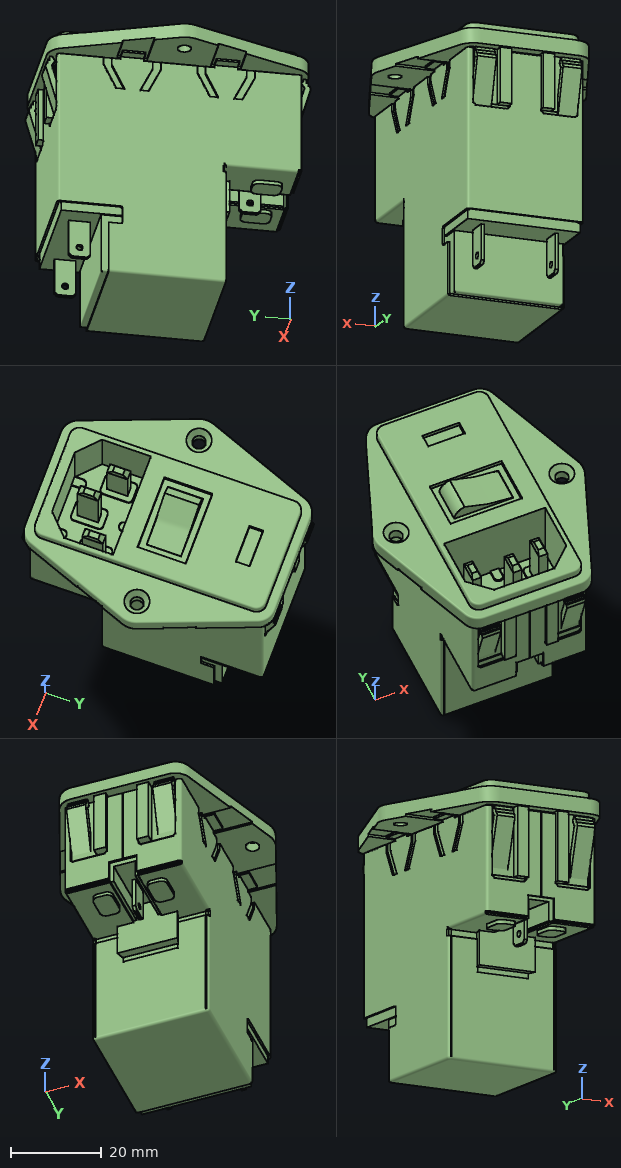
import cadquery as cq
import math


flange_width = 50.29
flange_length = 58.7
flange_thickness = 3.65
flange_slant = math.radians(20.8)
flange_tip_radius = 5.0
flange_corner_radius = 4.0
rim_round = 0.45
screw_spacing = 40.0
screw_hole = 3.0
screw_head = 5.6
countersink_angle = 90

plate_width = 26.8
plate_length = 54.2
plate_top = 5.65
plate_corner_radius = 2.3

sheet = 0.45
bend_radius = 0.7
shield_width = 27.7
shield_front = -27.55
shield_back = 27.33
shield_top = -0.45
shield_back_bottom = -37.8
shield_step_y = -10.65
shield_step_z = -25.1
shield_bottom = -54.6
shield_lower_back = 15.8
relief_y = 12.7
relief_bottom = -42.2
relief_round = 0.6
corner_notch_y = 0.75
corner_notch_z = 0.65
lower_flap_top = -26.6
seam_gap = 0.2
side_seam_x = 13.1

core_width = 25.9
core_half_length = 26.4
core_back_bottom = -39.95
core_lower_back = 17.4
rear_lip_width = shield_width - 2 * sheet
core_step_y = shield_step_y + sheet
core_step_z = shield_step_z + sheet
core_bottom = shield_bottom + sheet
core_round = 0.4

latch_outer_x = 12.45
latch_inner_x = 7.95
rib_outer_x = 6.45
rib_inner_x = 3.7
rib_reach = 28.45
latch_base_reach = 26.6
front_rib_bottom = -15.87
back_rib_bottom = -12.75
latch_tip = (29.76, -3.1)
latch_root_z = -14.3
latch_root_back_z = -9.8
latch_inner_bend = (28.35, -2.9)
latch_inner_top = (27.6, -1.75)
latch_top_y = 28.2
latch_top_z = -0.67
latch_steps = [(28.75, -1.5), (29.2, -2.25)]
latch_land_y = 29.5
window_margin = 0.93
window_chamfer = 0.6

tongue_y = 10.52
tongue_slot_bottom = -8.0
tongue_slot_width = 1.85
tongue_top_half = 4.6
tongue_bottom_half = 1.75
tongue_bend_z = -2.2
tongue_foot_half = 2.6
tongue_foot_reach = 2.2
pocket_half = 3.35
pocket_height = 0.5

fuse_size = (8.85, 3.2)
fuse_y = 19.1
recess_depth = 1.0
switch_size = (17.33, 11.26)
switch_y = 1.62
rocker_width = 8.08
rocker_left = -7.05
rocker_right = 7.15
rocker_peak_x = -4.55
rocker_peak_z = 7.65
rocker_nose = (-6.3, 6.6)
rocker_slope_end = (0.35, 5.95)
rocker_blend_middle = (1.1, 5.7)
rocker_blend_end = (1.95, 5.55)
rocker_end_z = 4.85
socket_half_width = 12.2
socket_back = -8.45
socket_shoulder = -19.9
socket_front = -24.55
socket_front_half_width = 7.3
socket_floor = -11.0

pin_width = 2.1
pin_length = 4.85
pin_tip_width = 1.4
pin_tip_length = 2.4
pin_tip_height = 0.9
line_pin_x = 8.0
line_pin_y = -14.45
line_pin_top = 1.6
earth_pin_y = -18.45
earth_pin_top = 4.9
pad_width = 4.7
pad_length = 7.5
pad_round = 0.9
floor_raise = 0.5
key_width = 2.1
key_length = 3.0

blade_thickness = 0.8
blade_width = 4.8
blade_hole = 1.4
blade_hole_rise = 2.6
blade_tip_chamfer = 0.9
blade_edge_chamfer = 0.25
earth_blade_y = -18.35
earth_blade_bottom = -28.9
line_blade_x = 8.8
line_blade_y = 21.5
line_blade_bottom = -49.15
earth_bay_half_width = 2.55
earth_bay_top = -20.3
earth_slot_half_width = 3.3
earth_slot_top = -19.7

foot_width = 4.65
foot_length = 6.6
foot_round = 1.4
foot_x = 6.42
foot_y = -20.9
foot_bottom = -26.0
block_half_width = 7.1
block_front = -12.5
block_root_half_width = 6.45
block_bottom = -32.9
sill_bottom = -34.1


def box(x0, x1, y0, y1, z0, z1):
    """Box between two opposite corners."""
    return cq.Workplane("XY").box(x1 - x0, y1 - y0, z1 - z0, centered=False).translate((x0, y0, z0))


def extrude_along_x(points, x0, x1):
    """Closed (y, z) outline extruded from x0 to x1."""
    return cq.Workplane("YZ").polyline(points).close().extrude(x1 - x0).translate((x0, 0, 0))


def both_sides(shape):
    """The shape joined with its mirror image across the X = 0 plane."""
    return shape.union(shape.mirror("YZ"))


def bent_box(width, y0, y1, z0, z1, radius):
    """Box with rounded upright and bottom edges and a plain top."""
    form = box(-width / 2, width / 2, y0, y1, z0, z1)
    return form.edges("|Z").fillet(radius).faces("<Z").edges().fillet(radius)


def flange():
    tip_x = flange_width / 2 - flange_tip_radius + flange_tip_radius / math.cos(flange_slant)
    half_length = flange_length / 2
    corner_x = tip_x - half_length * math.tan(flange_slant)
    outline = [
        (tip_x, 0),
        (corner_x, half_length),
        (-corner_x, half_length),
        (-tip_x, 0),
        (-corner_x, -half_length),
        (corner_x, -half_length),
    ]
    plate = cq.Workplane("XY").polyline(outline).close().extrude(flange_thickness)
    plate = plate.edges("|Z and (>X or <X)").fillet(flange_tip_radius)
    plate = plate.edges("|Z and (>Y or <Y)").fillet(flange_corner_radius)
    plate = plate.faces(">Z").edges().fillet(rim_round)
    plate = plate.faces(">Z").workplane(origin=(0, 0, flange_thickness)).pushPoints(
        [(-screw_spacing / 2, 0), (screw_spacing / 2, 0)]
    ).cskHole(screw_hole, screw_head, countersink_angle)
    for y in (-tongue_y, tongue_y):
        pocket = box(core_width / 2, tip_x, y - pocket_half, y + pocket_half, 0, pocket_height)
        plate = plate.cut(both_sides(pocket))
    return plate


def front_plate():
    plate = cq.Workplane("XY").rect(plate_width, plate_length).extrude(plate_top)
    plate = plate.edges("|Z").fillet(plate_corner_radius)
    return plate.faces(">Z").edges().fillet(rim_round)


def core():
    profile = [
        (-core_half_length, flange_thickness),
        (core_half_length, flange_thickness),
        (core_half_length, core_back_bottom),
        (core_lower_back, core_back_bottom),
        (core_lower_back, core_bottom),
        (core_step_y, core_bottom),
        (core_step_y, core_step_z),
        (-core_half_length, core_step_z),
    ]
    block = extrude_along_x(profile, -core_width / 2, core_width / 2)
    block = block.faces("<Z").edges().fillet(core_round)
    earth_bay = box(-earth_bay_half_width, earth_bay_half_width,
                    -core_half_length, block_front, core_step_z, earth_bay_top)
    rear_lip = box(-rear_lip_width / 2, rear_lip_width / 2, relief_y, core_half_length,
                   core_back_bottom, shield_back_bottom)
    return block.cut(earth_bay).union(rear_lip)


def latch_pair(rib_bottom):
    """Two spring latches with guide ribs, reaching toward +Y."""
    arm_profile = [(latch_top_y, latch_top_z)]
    step_top = latch_top_z
    for step_y, step_bottom in latch_steps:
        arm_profile += [(step_y, step_top), (step_y, step_bottom)]
        step_top = step_bottom
    arm_profile += [
        (latch_land_y, step_top),
        latch_tip,
        (latch_base_reach, latch_root_z),
        (core_half_length, latch_root_z),
        (core_half_length, latch_root_back_z),
        latch_inner_bend,
        latch_inner_top,
    ]
    arm = extrude_along_x(arm_profile, latch_inner_x, latch_outer_x)
    rib = box(rib_inner_x, rib_outer_x, core_half_length, rib_reach, rib_bottom, 0)
    base = box(rib_outer_x, latch_outer_x, core_half_length, latch_base_reach, rib_bottom, 0)
    return both_sides(arm.union(rib).union(base))


def rocker():
    """Tilted rocker with a round raised end, standing in the switch recess."""
    base_z = plate_top - recess_depth
    profile = (
        cq.Workplane("XZ")
        .moveTo(rocker_left, base_z)
        .threePointArc(rocker_nose, (rocker_peak_x, rocker_peak_z))
        .lineTo(*rocker_slope_end)
        .threePointArc(rocker_blend_middle, rocker_blend_end)
        .lineTo(rocker_right, rocker_end_z)
        .lineTo(rocker_right, base_z)
        .close()
    )
    half = rocker_width / 2
    return profile.extrude(half, both=True).translate((0, switch_y, 0))


def socket_cavity():
    outline = [
        (-socket_half_width, socket_back),
        (socket_half_width, socket_back),
        (socket_half_width, socket_shoulder),
        (socket_front_half_width, socket_front),
        (-socket_front_half_width, socket_front),
        (-socket_half_width, socket_shoulder),
    ]
    depth = plate_top - socket_floor
    return cq.Workplane("XY", origin=(0, 0, socket_floor)).polyline(outline).close().extrude(depth)


def contact_pin(x, y, top):
    """Flat pin with a tapered tip, standing on a rounded pad."""
    pad = cq.Workplane("XY", origin=(x, y, socket_floor)).rect(pad_width, pad_length).extrude(floor_raise)
    pad = pad.edges("|Z").fillet(pad_round)
    shoulder = top - pin_tip_height
    pin = cq.Workplane("XY", origin=(x, y, socket_floor)).rect(pin_width, pin_length)
    pin = pin.extrude(shoulder - socket_floor)
    tip = (
        cq.Workplane("XY", origin=(x, y, shoulder)).rect(pin_width, pin_length)
        .workplane(offset=pin_tip_height).rect(pin_tip_width, pin_tip_length).loft(ruled=True)
    )
    return pad.union(pin).union(tip)


def floor_key(x, wall_y, direction):
    """Round-ended key on the socket floor, growing from a wall along +Y or -Y."""
    straight = key_length - key_width / 2
    end_y = wall_y + direction * straight
    stem = box(x - key_width / 2, x + key_width / 2, min(wall_y, end_y), max(wall_y, end_y),
               socket_floor, socket_floor + floor_raise)
    end = cq.Workplane("XY", origin=(x, end_y, socket_floor)).circle(key_width / 2).extrude(floor_raise)
    return stem.union(end)


def blade(x, y, bottom, root):
    """Flat push-on terminal with a hole and a chamfered tip."""
    tab = box(x - blade_thickness / 2, x + blade_thickness / 2,
              y - blade_width / 2, y + blade_width / 2, bottom, root)
    tab = tab.faces("<Z").edges("|X").chamfer(blade_tip_chamfer)
    tab = tab.faces("<Z").edges("|Y").chamfer(blade_edge_chamfer)
    hole = cq.Workplane("YZ", origin=(x, y, bottom + blade_hole_rise)).circle(blade_hole / 2)
    return tab.cut(hole.extrude(blade_thickness, both=True))


def step_bosses():
    feet = cq.Workplane("XY", origin=(foot_x, foot_y, foot_bottom)).rect(foot_width, foot_length)
    feet = feet.extrude(core_step_z - foot_bottom).edges("|Z").fillet(foot_round)
    dovetail = [
        (-block_half_width, block_front),
        (block_half_width, block_front),
        (block_root_half_width, core_step_y),
        (-block_root_half_width, core_step_y),
    ]
    block = cq.Workplane("XY", origin=(0, 0, block_bottom)).polyline(dovetail).close()
    block = block.extrude(core_step_z - block_bottom)
    sill = box(-block_root_half_width, block_root_half_width,
               shield_step_y, core_step_y, sill_bottom, block_bottom)
    return both_sides(feet).union(block).union(sill)


def inlet_body():
    body = flange().union(front_plate()).union(core())
    body = body.union(latch_pair(back_rib_bottom))
    body = body.union(latch_pair(front_rib_bottom).mirror("XZ"))

    recess_floor = cq.Workplane("XY", origin=(0, 0, plate_top - recess_depth))
    body = body.cut(recess_floor.center(0, fuse_y).rect(*fuse_size).extrude(recess_depth))
    body = body.cut(recess_floor.center(0, switch_y).rect(*switch_size).extrude(recess_depth))
    body = body.union(rocker())

    body = body.cut(socket_cavity())
    for x, y, top in (
        (-line_pin_x, line_pin_y, line_pin_top),
        (line_pin_x, line_pin_y, line_pin_top),
        (0, earth_pin_y, earth_pin_top),
    ):
        body = body.union(contact_pin(x, y, top))
    key_x = socket_front_half_width - key_width / 2
    body = body.union(floor_key(0, socket_back, -1))
    body = body.union(both_sides(floor_key(key_x, socket_front, 1)))

    body = body.union(step_bosses())
    body = body.union(blade(0, earth_blade_y, earth_blade_bottom, earth_bay_top))
    for x in (-line_blade_x, line_blade_x):
        body = body.union(blade(x, line_blade_y, line_blade_bottom, core_back_bottom))
    return body


def shield_form(inset, radius):
    """L-shaped bent form, drawn in by the inset on every bent side."""
    width = shield_width - 2 * inset
    back = shield_back - inset
    upper = bent_box(width, shield_front + inset, back, shield_step_z + inset, shield_top, radius)
    lower = bent_box(width, shield_step_y + inset, back, shield_bottom + inset, shield_top, radius)
    return upper.union(lower)


def rear_relief():
    """Corner removed from the lower back, with a rounded bay above the lower walls."""
    half = shield_width / 2
    bay = box(-half, half, relief_y, shield_back, relief_bottom, shield_back_bottom)
    bay = bay.edges("|X and <Y").fillet(relief_round)
    corner = box(-half, half, shield_lower_back, shield_back, shield_bottom, relief_bottom)
    return bay.union(corner)


def latch_window(y, rib_bottom):
    """Pair of openings through one end wall, with chamfered lower corners."""
    bottom = rib_bottom - window_margin
    opening = box(rib_inner_x, latch_outer_x, y - bend_radius, y + bend_radius, bottom, 0)
    opening = opening.edges("|Y and <Z").chamfer(window_chamfer)
    return both_sides(opening)


def tongue_slots(y):
    """Two mirrored slots that free a tapering tongue in each side wall."""
    outline = [
        (tongue_top_half, shield_top),
        (tongue_top_half + tongue_slot_width, shield_top),
        (tongue_top_half + tongue_slot_width, tongue_bend_z),
        (tongue_bottom_half + tongue_slot_width, tongue_slot_bottom),
        (tongue_bottom_half, tongue_slot_bottom),
        (tongue_top_half, tongue_bend_z),
    ]
    slot = extrude_along_x(outline, shield_width / 2 - sheet, shield_width / 2)
    pair = slot.union(slot.mirror("XZ"))
    return both_sides(pair.translate((0, y, 0)))


def tongue_feet(y):
    """Tongue tips bent outward under the flange."""
    outer = shield_width / 2
    upright = box(outer - sheet, outer, y - tongue_foot_half, y + tongue_foot_half, shield_top, pocket_height)
    foot = box(outer, outer + tongue_foot_reach, y - tongue_foot_half, y + tongue_foot_half,
               pocket_height - sheet, pocket_height)
    return both_sides(upright.union(foot))


def shield(body):
    half = shield_width / 2
    shell = shield_form(0, bend_radius).cut(shield_form(sheet, bend_radius - sheet))
    shell = shell.cut(rear_relief())
    shell = shell.cut(box(-half, half, shield_front, shield_front + corner_notch_y,
                          shield_step_z, shield_step_z + corner_notch_z))
    shell = shell.cut(box(-half, half, shield_step_y, shield_step_y + bend_radius,
                          lower_flap_top, shield_step_z))
    shell = shell.cut(box(-seam_gap / 2, seam_gap / 2, shield_front, shield_front + sheet,
                          shield_step_z, shield_top))
    side_seam = box(side_seam_x - seam_gap / 2, side_seam_x + seam_gap / 2, shield_step_y, core_step_y,
                    shield_bottom + bend_radius, lower_flap_top)
    shell = shell.cut(both_sides(side_seam))
    shell = shell.cut(box(-earth_slot_half_width, earth_slot_half_width, shield_front, block_front,
                          shield_step_z, earth_slot_top))
    shell = shell.cut(latch_window(shield_front, front_rib_bottom))
    shell = shell.cut(latch_window(shield_back, back_rib_bottom))
    for y in (-tongue_y, tongue_y):
        shell = shell.cut(tongue_slots(y)).union(tongue_feet(y))
    return shell.cut(body)


inlet = inlet_body()
metal_shield = shield(inlet)

result = cq.Compound.makeCompound([*inlet.solids().vals(), *metal_shield.solids().vals()])